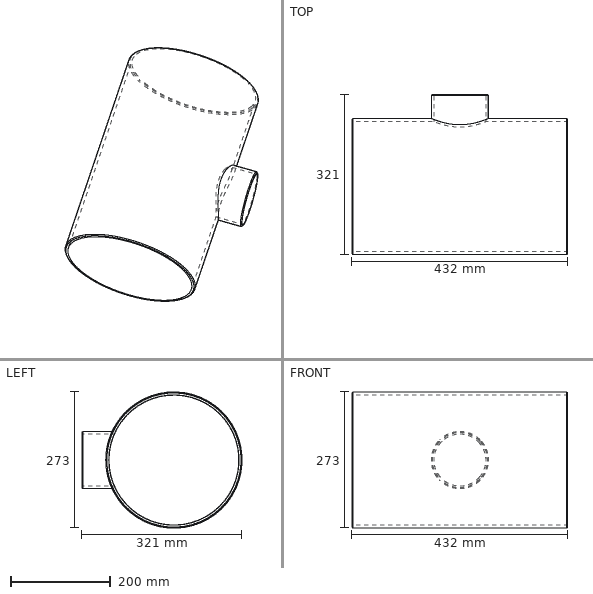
import cadquery as cq

run_length = 432.0
run_diameter = 273.0
run_wall = 6.5

branch_reach = 184.5
branch_diameter = 114.5
branch_wall = 5.0

run_bevel = 2.0
branch_bevel = 2.0


def run_rod(diameter):
    """Solid cylinder along the full main pipe."""
    return cq.Workplane("YZ").circle(diameter / 2).extrude(run_length / 2, both=True)


def branch_rod(diameter):
    """Solid cylinder from the main axis to the branch end."""
    return cq.Workplane("XZ").circle(diameter / 2).extrude(-branch_reach)


run = run_rod(run_diameter).faces("<X or >X").chamfer(run_bevel)
branch = branch_rod(branch_diameter).faces(">Y").chamfer(branch_bevel)
run_bore = run_rod(run_diameter - 2 * run_wall)
branch_bore = branch_rod(branch_diameter - 2 * branch_wall)

result = run.union(branch).cut(run_bore).cut(branch_bore)